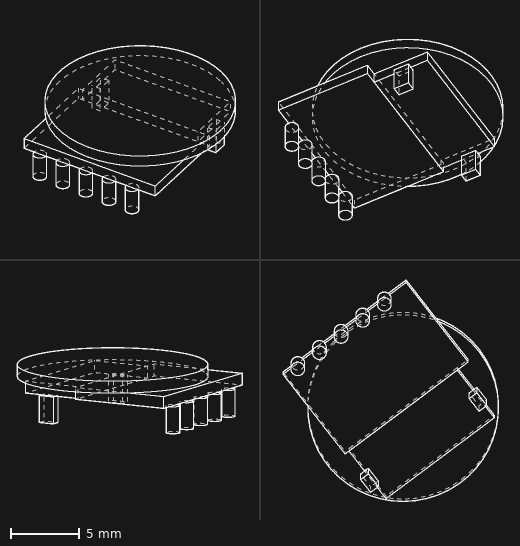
import cadquery as cq

disc_diameter = 14.0
disc_thickness = 0.9
plate_thickness = 0.88
standoff_height = 2.01

leg_span_half = 5.35
front_plate_right = 6.0
front_plate_depth = 7.5
rear_plate_half_width = 5.0
rear_plate_depth = 4.48

pin_diameter = 1.0
pin_pitch = 2.0
pin_count = 5

leg_width = 0.7
leg_depth = 1.2
leg_center_y = 2.49

plate_bottom = standoff_height
disc_bottom = plate_bottom + plate_thickness
leg_center_x = leg_span_half - leg_width / 2
pin_row_y = -front_plate_depth


def box_between(x_min, x_max, y_min, y_max, z_min, height):
    """Upright box given by its extents in X and Y, its base and its height."""
    return (
        cq.Workplane("XY")
        .box(x_max - x_min, y_max - y_min, height, centered=False)
        .translate((x_min, y_min, z_min))
    )


def make_disc():
    """Round top disc."""
    return cq.Workplane("XY").workplane(offset=disc_bottom).circle(disc_diameter / 2).extrude(disc_thickness)


def make_front_plate():
    """Wide plate in front of the disc axis."""
    return box_between(
        -leg_span_half, front_plate_right, -front_plate_depth, 0, plate_bottom, plate_thickness
    )


def make_rear_plate():
    """Narrower plate behind the disc axis, its corners inside the disc outline."""
    return box_between(
        -rear_plate_half_width, rear_plate_half_width, 0, rear_plate_depth, plate_bottom, plate_thickness
    )


def make_pin(x):
    """Round pin under the front edge of the front plate."""
    return cq.Workplane("XY").center(x, pin_row_y).circle(pin_diameter / 2).extrude(standoff_height)


def make_leg(x):
    """Rectangular leg under the rear plate."""
    return cq.Workplane("XY").center(x, leg_center_y).rect(leg_width, leg_depth).extrude(standoff_height)


disc = make_disc()
front_plate = make_front_plate()
rear_plate = make_rear_plate()
pins = [make_pin((i - (pin_count - 1) / 2) * pin_pitch) for i in range(pin_count)]
legs = [make_leg(side * leg_center_x) for side in (-1, 1)]

result = cq.Compound.makeCompound([
    disc.val(),
    front_plate.val(),
    rear_plate.val(),
    *[pin.val() for pin in pins],
    *[leg.val() for leg in legs],
])